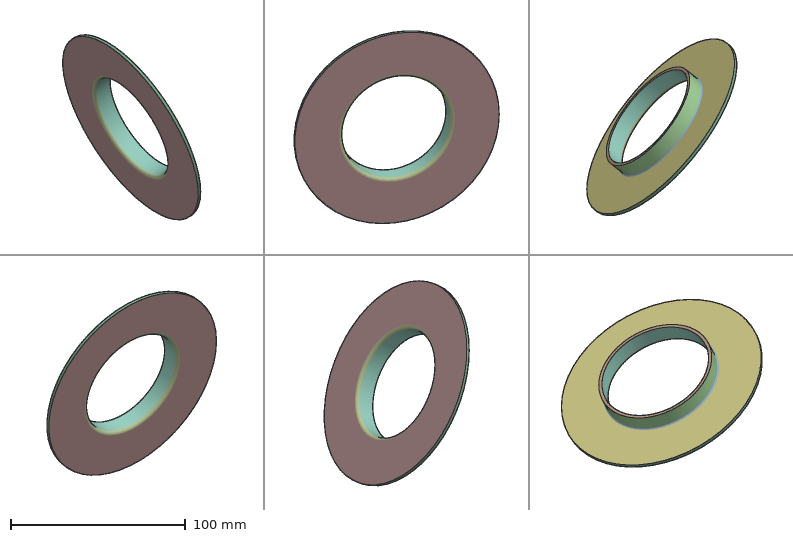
import cadquery as cq

flange_diameter = 122.0
bore_diameter = 65.0
sheet_thickness = 2.0
total_depth = 12.0
mouth_radius = 2.0
root_radius = 1.0

flange_radius = flange_diameter / 2
bore_radius = bore_diameter / 2
collar_radius = bore_radius + sheet_thickness
diagonal = 0.5 ** 0.5

mouth_center = (bore_radius + mouth_radius, mouth_radius)
root_center = (collar_radius + root_radius, sheet_thickness + root_radius)


def arc_middle(center, radius):
    """Midpoint of a corner arc, on the side facing the axis and the flange face."""
    return (center[0] - radius * diagonal, center[1] - radius * diagonal)


section = (
    cq.Workplane("XY")
    .moveTo(mouth_center[0], 0)
    .lineTo(flange_radius, 0)
    .lineTo(flange_radius, sheet_thickness)
    .lineTo(root_center[0], sheet_thickness)
    .threePointArc(arc_middle(root_center, root_radius), (collar_radius, root_center[1]))
    .lineTo(collar_radius, total_depth)
    .lineTo(bore_radius, total_depth)
    .lineTo(bore_radius, mouth_center[1])
    .threePointArc(arc_middle(mouth_center, mouth_radius), (mouth_center[0], 0))
    .close()
)

result = section.revolve(360, (0, 0, 0), (0, 1, 0))